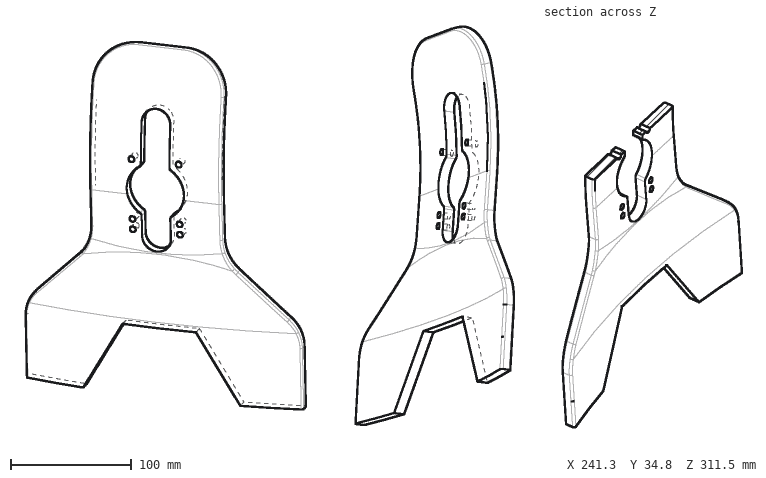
import cadquery as cq
import math

height = 311.5
thickness = 9.5
edge_radius = 2.0

head_half_width = 57.3
head_corner_radius = 37.5
neck_z = 133.3
neck_radius = 40.5
wing_half_width = 241.3 / 2
shoulder_z = neck_z - (wing_half_width - head_half_width)
shoulder_radius = 35.5

notch_half_width = 68.5
notch_depth = 63.2
notch_flank_angle = math.radians(30)

slot_width = 25.0
slot_top = 259.7
slot_bottom = 133.3
disc_diameter = 49.8
disc_z = 187.5
keyhole_corner_radius = 3.0
hole_diameter = 5.0
hole_x = 20.5
hole_levels = [214.2, 160.5, 151.0]

head_radius = 336.3
head_lean = math.radians(17.9)
panel_tilt = math.radians(4.4)

crease_z = 131.5
crease_half_width = 0.47
crease_growth = 0.001927
crease_bow = 0.0003212
wing_bend_z = 68.5
wing_bow = 0.0008029
wing_tilt = math.radians(3.5)

blank_margin = 9.3
section_count = 5
reach = 0.3
least_rim_rise = 1.5
wall_line_depth = 6.2
wall_line_span = 3.0

rim_loss = edge_radius * (math.cos(head_lean) + math.sin(head_lean) - 1)
head_centre_z = height + rim_loss - head_radius * math.sin(head_lean)


def head_point(radius, angle):
    """(y, z) on an arc of the head, at an angle above the horizontal."""
    return (head_radius - radius * math.cos(angle), head_centre_z + radius * math.sin(angle))


def panel_point(z):
    """(y, z) on the front skin of the straight panel, which continues the head."""
    start_y, start_z = head_point(head_radius, -panel_tilt)
    return (start_y + (start_z - z) * math.tan(panel_tilt), z)


def swept_back(point, bow, x):
    return (point[0] + bow * x**2, point[1])


def skin_below_head(x):
    """Front skin at one X: crease top, crease bottom, wing bend and foot, with bend tangents."""
    half_crease = crease_half_width + crease_growth * x**2
    crease_top = panel_point(crease_z + half_crease)
    crease_bottom = swept_back(panel_point(crease_z - half_crease), crease_bow, x)
    bend = swept_back(panel_point(wing_bend_z), wing_bow, x)
    foot = (bend[0] + (wing_bend_z + blank_margin) * math.tan(wing_tilt), -blank_margin)

    panel_slope = math.tan(panel_tilt)
    crease_slope = panel_slope + crease_bow * x**2 / half_crease
    tangents = [(slope, -1) for slope in (panel_slope, crease_slope, math.tan(wing_tilt))]
    return [crease_top, crease_bottom, bend, foot], tangents


def sheet_section(x):
    """Closed profile of the sheet at one X: down the front skin and up the back skin."""
    front, down = skin_below_head(x)
    shift_y = thickness * math.cos(panel_tilt)
    shift_z = thickness * math.sin(panel_tilt)
    back = [(y + shift_y, z + shift_z) for y, z in front]
    up = [(-y, -z) for y, z in down]
    back_radius = head_radius - thickness
    mid_angle = (head_lean - panel_tilt) / 2

    return (
        cq.Workplane("YZ", origin=(x, 0, 0))
        .moveTo(*head_point(head_radius, head_lean))
        .threePointArc(head_point(head_radius, mid_angle), head_point(head_radius, -panel_tilt))
        .lineTo(*front[0])
        .spline([front[1]], tangents=[down[0], down[1]], includeCurrent=True)
        .spline([front[2]], tangents=[down[1], down[2]], includeCurrent=True)
        .lineTo(*front[3])
        .lineTo(*back[3])
        .lineTo(*back[2])
        .spline([back[1]], tangents=[up[2], up[1]], includeCurrent=True)
        .spline([back[0]], tangents=[up[1], up[0]], includeCurrent=True)
        .lineTo(*head_point(back_radius, -panel_tilt))
        .threePointArc(head_point(back_radius, mid_angle), head_point(back_radius, head_lean))
        .close()
        .val()
    )


def bent_sheet():
    """Sheet blank, wider and lower than the finished outline."""
    half_width = wing_half_width + blank_margin
    step = 2 * half_width / (section_count - 1)
    sections = [sheet_section(i * step - half_width) for i in range(section_count)]
    return cq.Workplane(cq.Solid.makeLoft(sections))


def through_depth(sketch):
    """Extrude an XZ sketch through the whole depth of the sheet."""
    return sketch.extrude(height, both=True)


def round_corners(prism, z, radius):
    """Fillet the prism edges that run along Y at one level."""
    level = cq.selectors.BoxSelector((-height, -height, z - reach), (height, height, z + reach))
    return prism.edges("|Y").edges(level).fillet(radius)


def outline():
    """Prism of the outline; the head is left open above the sheet."""
    top = height + blank_margin
    points = [
        (-wing_half_width, 0),
        (wing_half_width, 0),
        (wing_half_width, shoulder_z),
        (head_half_width, neck_z),
        (head_half_width, top),
        (-head_half_width, top),
        (-head_half_width, neck_z),
        (-wing_half_width, shoulder_z),
    ]
    prism = through_depth(cq.Workplane("XZ").polyline(points).close())
    prism = round_corners(prism, neck_z, neck_radius)
    return round_corners(prism, shoulder_z, shoulder_radius)


def is_head_corner(edge):
    """Top edges that run along the thickness of the leaning head."""
    box = edge.BoundingBox()
    return box.zmin > height - blank_margin and box.xlen < reach


def is_rim(edge):
    """Edges where the skins meet the side walls, without the foot and lines across a wall."""
    box = edge.BoundingBox()
    beside_middle = abs(box.center.x) > head_half_width - head_corner_radius
    on_side = beside_middle and box.zlen > least_rim_rise
    on_top = box.zmin > height - blank_margin
    is_narrow = box.xlen < wall_line_span and box.zlen < wall_line_span
    across_wall = box.ylen > wall_line_depth and is_narrow
    return (on_side or on_top) and not across_wall


def round_edges(plate, is_wanted, radius):
    return plate.newObject([edge for edge in plate.edges().vals() if is_wanted(edge)]).fillet(radius)


def notch():
    top_half_width = notch_half_width - notch_depth * math.tan(notch_flank_angle)
    points = [
        (-notch_half_width, 0),
        (notch_half_width, 0),
        (top_half_width, notch_depth),
        (-top_half_width, notch_depth),
    ]
    return through_depth(cq.Workplane("XZ").polyline(points).close())


def keyhole():
    """Vertical slot widened by a disc, with the corners between them rounded."""
    slot_middle = (slot_top + slot_bottom) / 2
    slot = cq.Workplane("XZ").center(0, slot_middle).slot2D(slot_top - slot_bottom, slot_width, 90)
    disc = cq.Workplane("XZ").center(0, disc_z).circle(disc_diameter / 2)
    opening = through_depth(slot).union(through_depth(disc))
    corner_rise = math.sqrt(disc_diameter**2 - slot_width**2) / 2
    for z in (disc_z - corner_rise, disc_z + corner_rise):
        opening = round_corners(opening, z, keyhole_corner_radius)
    return opening


def screw_holes():
    centres = [(side * hole_x, z) for side in (-1, 1) for z in hole_levels]
    return through_depth(cq.Workplane("XZ").pushPoints(centres).circle(hole_diameter / 2))


plate = bent_sheet().intersect(outline())
plate = round_edges(plate, is_head_corner, head_corner_radius)
plate = round_edges(plate, is_rim, edge_radius)
result = plate.cut(notch()).cut(keyhole()).cut(screw_holes())